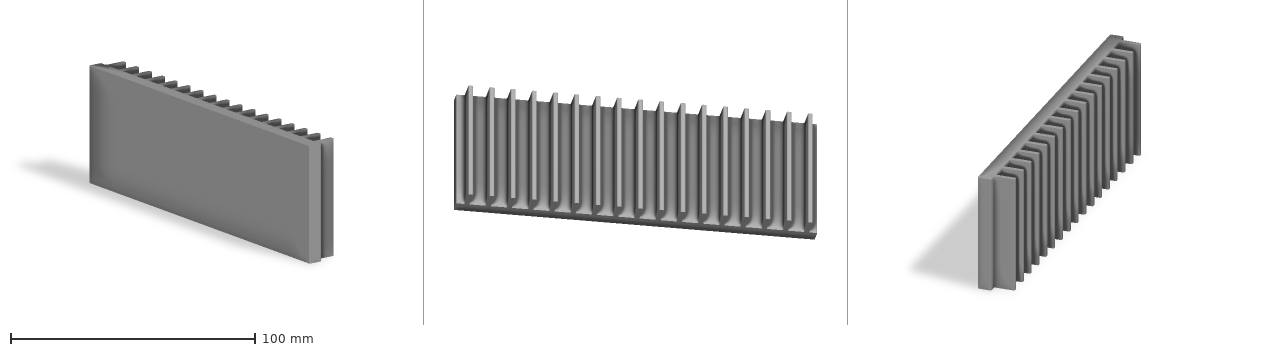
import cadquery as cq

length = 150.1
depth = 15.0
height = 50.0
segment_count = 17
plate_thickness = 6.0
fin_thickness = 2.0
edge_radius = 0.5

segment_width = length / segment_count
plate_front = -depth / 2
plate_back = plate_front + plate_thickness
fin_tip = depth / 2


def upright_block(width, center_x, y_start, y_end):
    """Full-height block spanning y_start to y_end."""
    return (
        cq.Workplane("XY")
        .box(width, y_end - y_start, height)
        .translate((center_x, (y_start + y_end) / 2, 0))
    )


def round_upright_edge(body, x, y):
    """Round the full-height edge that passes through (x, y)."""
    return body.edges(cq.selectors.NearestToPointSelector((x, y, 0))).fillet(edge_radius)


def make_segment(center_x):
    """One plate segment with its fin, rounded at the fin's tip and root."""
    segment = upright_block(segment_width, center_x, plate_front, plate_back)
    segment = segment.union(upright_block(fin_thickness, center_x, plate_front, fin_tip))
    for side in (-1, 1):
        fin_face = center_x + side * fin_thickness / 2
        for y in (plate_back, fin_tip):
            segment = round_upright_edge(segment, fin_face, y)
    return segment


def round_plate_end(segment, end_x):
    """Round the front and back corners where the plate stops at end_x."""
    for y in (plate_front, plate_back):
        segment = round_upright_edge(segment, end_x, y)
    return segment


last = segment_count - 1
segments = [make_segment((i - last / 2) * segment_width) for i in range(segment_count)]
segments[0] = round_plate_end(segments[0], -length / 2)
segments[last] = round_plate_end(segments[last], length / 2)

result = segments[0]
for segment in segments[1:]:
    result = result.union(segment, clean=False)